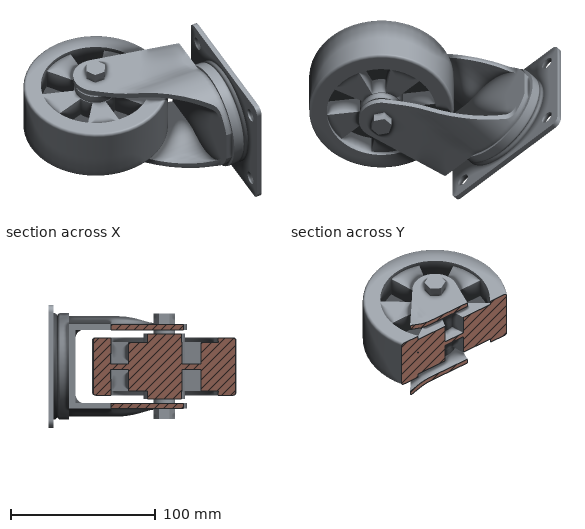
import cadquery as cq
import math


wheel_diameter = 100.0
wheel_width = 40.0
tread_fillet = 2.0
recess_diameter = 75.8
recess_depth = 3.0
core_diameter = 29.7
web_thickness = 4.0
spoke_count = 5

hub_diameter = 29.0
hub_length = 45.2
spacer_diameter = 15.1
bolt_across_flats = 12.6
bolt_length = 73.1

plate_length = 100.0
plate_width = 85.0
plate_thickness = 3.5
plate_corner_radius = 5.1
hole_diameter = 9.0
hole_spacing_x = 80.0
hole_spacing_z = 60.0
plate_top = 80.0
swivel_x = 45.0

ring_diameter = 73.7
neck_diameter = 69.3
neck_depth = 6.2
ring_shoulder_depth = 8.0
ring_bottom_depth = 14.4

fork_outer_width = 58.6
fork_wall = 4.0
fork_crown_thickness = 4.5
fork_crown_depth = 14.0
fork_crown_radius = 34.8
fork_bend_radius = 26.1
fork_foot_radius = 15.7
fork_back_x = -2.2
fork_front_x = 77.9
fork_slope_end_x = 65.8
fork_corner_fillet = 8.4

plate_bottom = plate_top - plate_thickness
crown_top = plate_top - fork_crown_depth
crown_bottom = crown_top - fork_crown_thickness


def cylinder(diameter, length):
    """Cylinder on the wheel axis, centred on the mid-plane."""
    return cq.Workplane("XY").circle(diameter / 2).extrude(length / 2, both=True)


def sector(start_angle, sweep, radius, length):
    """Pie-shaped prism on the wheel axis, centred on the mid-plane."""
    def rim_point(angle):
        return radius * math.cos(math.radians(angle)), radius * math.sin(math.radians(angle))

    return (
        cq.Workplane("XY")
        .lineTo(*rim_point(start_angle))
        .threePointArc(rim_point(start_angle + sweep / 2), rim_point(start_angle + sweep))
        .close()
        .extrude(length / 2, both=True)
    )


def make_wheel():
    """Solid tread ring joined to the core by a thin web and spokes on both sides."""
    rim = cylinder(wheel_diameter, wheel_width).faces("|Z").edges().fillet(tread_fillet)
    wheel = rim.cut(cylinder(recess_diameter, wheel_width))
    wheel = wheel.union(cylinder(recess_diameter, web_thickness))
    spoke_width = wheel_width - 2 * recess_depth
    wheel = wheel.union(cylinder(core_diameter, spoke_width))
    spoke_pitch = 360 / spoke_count
    spoke_sweep = spoke_pitch / 2
    for i in range(spoke_count):
        start_angle = spoke_sweep + i * spoke_pitch
        wheel = wheel.union(sector(start_angle, spoke_sweep, recess_diameter / 2, spoke_width))
    return wheel


def make_axle():
    """Hub, spacer and hexagonal bolt heads; the hexagon has corners on the Y axis."""
    bolt_corner_diameter = bolt_across_flats / math.cos(math.pi / 6)
    bolt = (
        cq.Workplane("XY")
        .transformed(rotate=(0, 0, 90))
        .polygon(6, bolt_corner_diameter)
        .extrude(bolt_length / 2, both=True)
    )
    spacer = cylinder(spacer_diameter, fork_outer_width - fork_wall)
    return cylinder(hub_diameter, hub_length).union(spacer).union(bolt)


def make_plate():
    """Rounded mounting plate with four bolt holes."""
    return (
        cq.Workplane("XZ", origin=(swivel_x, plate_top, 0))
        .rect(plate_length, plate_width)
        .extrude(plate_thickness)
        .edges("|Y")
        .fillet(plate_corner_radius)
        .faces("<Y")
        .workplane(origin=(swivel_x, plate_bottom, 0))
        .rect(hole_spacing_x, hole_spacing_z, forConstruction=True)
        .vertices()
        .hole(hole_diameter)
    )


def make_swivel_ring():
    """Turned ring under the plate, narrowed to a neck by two convex rounds."""
    ring_radius = ring_diameter / 2
    neck_radius = neck_diameter / 2
    round_depth = ring_radius - neck_radius
    neck_y = plate_top - neck_depth
    shoulder_y = plate_top - ring_shoulder_depth
    bottom_y = plate_top - ring_bottom_depth
    bulge_radius = neck_radius + round_depth * math.sin(math.pi / 4)

    def bulge_y(wide_y):
        return wide_y + (neck_y - wide_y) * math.sin(math.pi / 4)

    profile = (
        cq.Workplane("XY", origin=(swivel_x, 0, 0))
        .moveTo(0, plate_bottom)
        .lineTo(ring_radius, plate_bottom)
        .threePointArc((bulge_radius, bulge_y(plate_bottom)), (neck_radius, neck_y))
        .threePointArc((bulge_radius, bulge_y(shoulder_y)), (ring_radius, shoulder_y))
        .lineTo(ring_radius, bottom_y)
        .lineTo(0, bottom_y)
        .close()
    )
    return profile.revolve(360, (0, 0, 0), (0, 1, 0))


def fork_plan(top_y, inset):
    """Prism of the fork outline, offset inwards by inset, from top_y down past the foot.

    Two straight legs bend outwards into a round crown centred on the swivel axis.
    """
    half_width = fork_outer_width / 2 - inset
    crown_radius = fork_crown_radius - inset
    bend_radius = fork_bend_radius + inset
    bend_z = half_width + bend_radius
    centre_distance = crown_radius + bend_radius
    bend_x = swivel_x - math.sqrt(centre_distance**2 - bend_z**2)
    bend_angle = math.acos(bend_z / centre_distance)
    middle = (
        bend_x + bend_radius * math.sin(bend_angle / 2),
        bend_z - bend_radius * math.cos(bend_angle / 2),
    )
    end = (
        bend_x + bend_radius * math.sin(bend_angle),
        bend_z - bend_radius * math.cos(bend_angle),
    )
    overshoot = 2 * fork_foot_radius
    rear_x = -overshoot
    return (
        cq.Workplane("XZ", origin=(0, top_y, 0))
        .moveTo(rear_x, -half_width)
        .lineTo(rear_x, half_width)
        .lineTo(bend_x, half_width)
        .threePointArc(middle, end)
        .threePointArc((swivel_x + crown_radius, 0), (end[0], -end[1]))
        .threePointArc((middle[0], -middle[1]), (bend_x, -half_width))
        .close()
        .extrude(top_y + overshoot)
    )


def foot_tangent_point(x, y, side):
    """Point where the line from (x, y) touches the foot circle, turned to the given side."""
    angle = math.atan2(y, x) + side * math.acos(fork_foot_radius / math.hypot(x, y))
    return fork_foot_radius * math.cos(angle), fork_foot_radius * math.sin(angle)


def fork_side_profile():
    """Prism along Z of the fork's side: round foot, leaning back edge and sloping front edge."""
    back_tangent = foot_tangent_point(fork_back_x, crown_top, 1)
    front_tangent = foot_tangent_point(fork_slope_end_x, crown_bottom, -1)
    prism = (
        cq.Workplane("XY")
        .moveTo(fork_back_x, crown_top)
        .lineTo(*back_tangent)
        .threePointArc((0, -fork_foot_radius), front_tangent)
        .lineTo(fork_slope_end_x, crown_bottom)
        .lineTo(fork_front_x, crown_bottom)
        .lineTo(fork_front_x, crown_top)
        .close()
        .extrude(fork_crown_radius, both=True)
    )
    corner = cq.NearestToPointSelector((fork_slope_end_x, crown_bottom, 0))
    return prism.edges("|Z").edges(corner).fillet(fork_corner_fillet)


def make_fork():
    """Sheet fork: outer outline trimmed to its side profile, hollow below the crown."""
    body = fork_plan(crown_top, 0).intersect(fork_side_profile())
    return body.cut(fork_plan(crown_bottom, fork_wall))


result = (
    make_plate()
    .union(make_swivel_ring())
    .union(make_fork())
    .union(make_axle())
    .union(make_wheel())
)